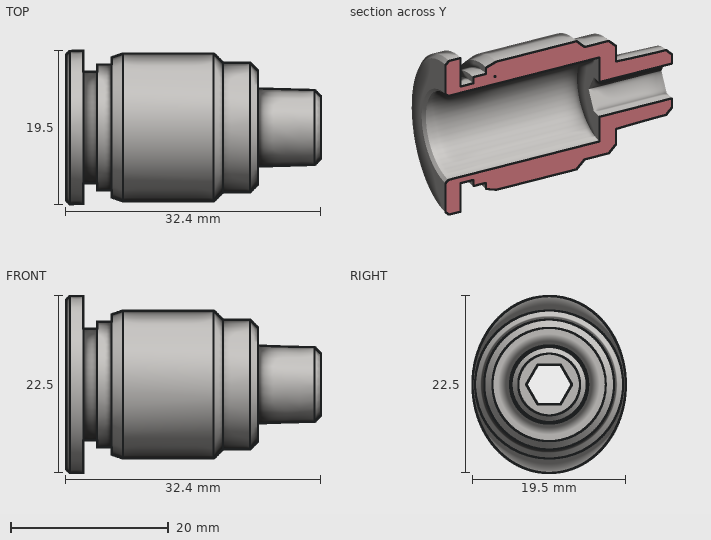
import cadquery as cq
import math


flange_width = 19.5
flange_height = 22.5
flange_thickness = 2.2
flange_chamfer = 0.5

neck_radius = 7.1
neck_end = 3.95

collar_radius = 8.0
collar_end = 5.8

body_radius = 9.4
lead_cone_length = 1.45
lead_cone_drop = 0.5
body_cone_start = 18.75

hub_radius = 8.25
hub_end = 24.4
hub_chamfer = 1.05

stub_radius = 4.97
stub_taper_drop = 0.2
stub_chamfer = 0.85
total_length = 32.4

bore_radius = 6.1
bore_depth = 22.0
bore_chamfer = 0.4
hex_across_flats = 5.0


def flange():
    """Elliptical plate with a chamfered front rim."""
    plate = (
        cq.Workplane("YZ")
        .ellipse(flange_width / 2, flange_height / 2)
        .extrude(flange_thickness)
    )
    return plate.faces("<X").chamfer(flange_chamfer)


def turned_body():
    """Neck, collar, body, hub and stub revolved about the X axis."""
    body_start = collar_end + lead_cone_length
    shoulder_end = body_cone_start + body_radius - hub_radius
    stub_end_radius = stub_radius - stub_taper_drop
    profile = [
        (flange_thickness, 0),
        (flange_thickness, neck_radius),
        (neck_end, neck_radius),
        (neck_end, collar_radius),
        (collar_end, collar_radius),
        (collar_end, body_radius - lead_cone_drop),
        (body_start, body_radius),
        (body_cone_start, body_radius),
        (shoulder_end, hub_radius),
        (hub_end - hub_chamfer, hub_radius),
        (hub_end, hub_radius - hub_chamfer),
        (hub_end, stub_radius),
        (total_length - stub_chamfer, stub_end_radius),
        (total_length, stub_end_radius - stub_chamfer),
        (total_length, 0),
    ]
    return cq.Workplane("XY").polyline(profile).close().revolve(360, (0, 0, 0), (1, 0, 0))


def tube_bore():
    """Blind tube socket with a chamfered mouth."""
    profile = [
        (0, 0),
        (0, bore_radius + bore_chamfer),
        (bore_chamfer, bore_radius),
        (bore_depth, bore_radius),
        (bore_depth, 0),
    ]
    return cq.Workplane("XY").polyline(profile).close().revolve(360, (0, 0, 0), (1, 0, 0))


def hex_passage():
    """Hexagonal hole along the whole axis, with two corners on the Y axis."""
    hex_across_corners = hex_across_flats / math.cos(math.radians(30))
    return (
        cq.Workplane("YZ")
        .polygon(6, hex_across_corners)
        .extrude(total_length)
    )


result = flange().union(turned_body()).cut(tube_bore()).cut(hex_passage())